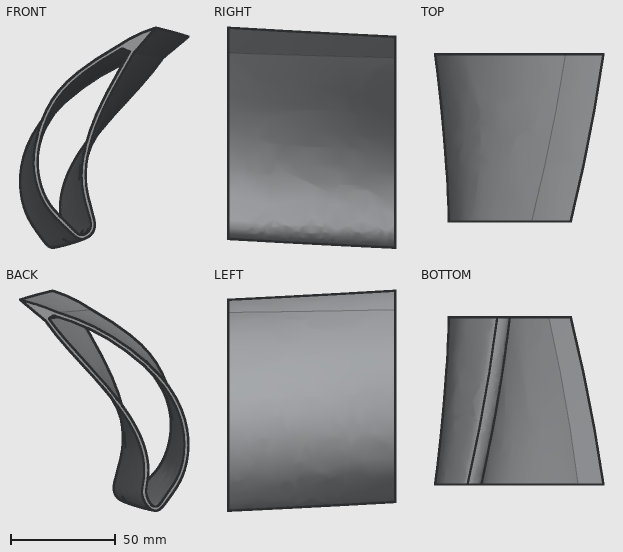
import cadquery as cq

SPAN = 80.0
SPAN_AXIS = cq.Vector(0, 1, 0)
WALL = 2.0
MID_BOW = (1.0, -0.1)

NOSE = 7

NEAR_TIP = (64.9, 105.22)
NEAR_WEDGE_BULGE = (56.9, 102.2)
NEAR_BODY = [
    (46.2, 96.1),
    (31.4, 86.7),
    (17.4, 73.6),
    (8.2, 53.6),
    (6.6, 38.6),
    (12.4, 20.1),
    (23.4, 8.1),
    (29.8, 4.2),
    (35.2, 8.1),
    (34.9, 16.1),
    (31.6, 31.2),
    (33.4, 48.8),
    (40.6, 68.0),
    (54.4, 93.1),
]

FAR_TIP = (80.56, 100.9)
FAR_WEDGE_BULGE = (71.6, 98.3)
FAR_BODY = [
    (62.4, 94.8),
    (44.3, 87.6),
    (24.8, 75.0),
    (7.0, 55.8),
    (0.0, 32.0),
    (2.9, 16.6),
    (10.4, 4.5),
    (15.6, 0.0),
    (21.6, 5.6),
    (21.4, 15.6),
    (22.9, 30.0),
    (32.0, 47.5),
    (45.8, 64.4),
    (68.4, 90.8),
]


def blend(near, far):
    """Middle-section point between matching end-section points."""
    return tuple((a + b) / 2 + bow for a, b, bow in zip(near, far, MID_BOW))


def in_section(point, y):
    x, z = point
    return cq.Vector(x, y, z)


def body_edges(points):
    """One smooth curve through the points, divided at the nose into a convex and a concave edge."""
    curve = cq.Edge.makeSpline(points)
    start, nose, end = (curve.paramAt(point) for point in (points[0], points[NOSE], points[-1]))
    return [curve.trim(start, nose), curve.trim(nose, end)]


def outline_wire(section):
    """Outer profile: the body, then the two sides of the wedge meeting at its sharp tip."""
    body, bulge, tip, y = section
    points = [in_section(point, y) for point in body]
    tip_point = in_section(tip, y)
    concave_side = cq.Edge.makeLine(points[-1], tip_point)
    convex_side = cq.Edge.makeThreePointArc(tip_point, in_section(bulge, y), points[0])
    return cq.Wire.assembleEdges([*body_edges(points), concave_side, convex_side])


def cavity_wire(section):
    """Body points moved inward by the wall, closed by a straight side along the wedge base."""
    body, _, _, y = section
    first, *between, last = (in_section(point, y) for point in body)
    curve = cq.Edge.makeSpline([first, *between, last])
    base_direction = (last - first).normalized()

    def inward(point):
        tangent = curve.tangentAt(curve.paramAt(point), mode="parameter")
        return tangent.cross(SPAN_AXIS)

    def base_step(point):
        """Move along the wedge base that crosses one wall thickness."""
        return base_direction * (WALL / base_direction.dot(inward(point)))

    points = [first + base_step(first)]
    points += [point + inward(point) * WALL for point in between]
    points.append(last + base_step(last))
    base = cq.Edge.makeLine(points[-1], points[0])
    return cq.Wire.assembleEdges([*body_edges(points), base])


def loft(make_wire, sections):
    return cq.Solid.makeLoft([make_wire(section) for section in sections])


near_section = (NEAR_BODY, NEAR_WEDGE_BULGE, NEAR_TIP, 0.0)
far_section = (FAR_BODY, FAR_WEDGE_BULGE, FAR_TIP, SPAN)
middle_section = (
    [blend(near, far) for near, far in zip(NEAR_BODY, FAR_BODY)],
    blend(NEAR_WEDGE_BULGE, FAR_WEDGE_BULGE),
    blend(NEAR_TIP, FAR_TIP),
    SPAN / 2,
)
vane_sections = [near_section, middle_section, far_section]

outline = loft(outline_wire, vane_sections)
cavity = loft(cavity_wire, vane_sections)
result = cq.Workplane(outline).cut(cavity).solids()